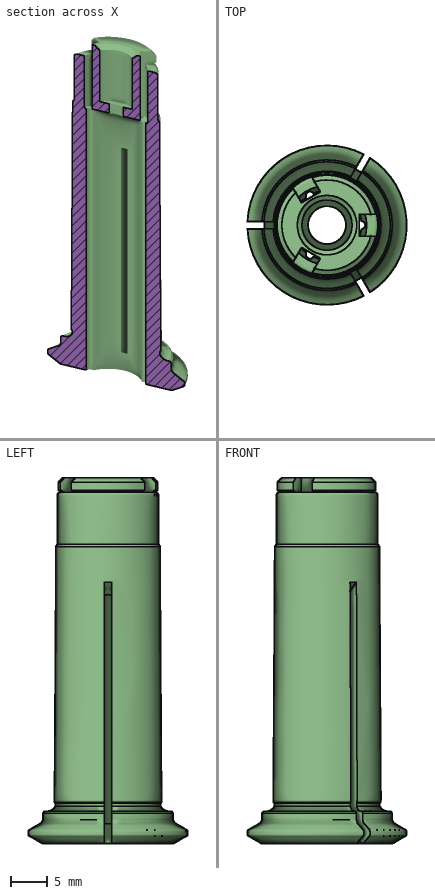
import cadquery as cq
import math

total_height = 50.5
segment_count = 3
cone_angle = math.radians(30)
cone_rise = math.tan(cone_angle)

flange_radius = 11.0
base_radius = 9.0
collar_top = 4.5
rim_height = 0.68
rim_round = 0.33
collar_root_radius = 9.38
collar_root_height = 3.28
collar_edge_chamfer = 0.27
flange_overhang = flange_radius - base_radius
rim_bottom = flange_overhang * cone_rise
rim_top = rim_bottom + rim_height

neck_radius = 7.3
neck_root_radius = 8.33
neck_bottom = 5.14
neck_top = 5.6
neck_shoulder_radius = 7.4
neck_shoulder_height = 5.75

body_bottom = 6.05
body_bottom_radius = 7.45
body_top = 40.95
body_top_radius = 7.24
upper_radius = 7.0
upper_bottom = 41.3
upper_top = 48.5
upper_edge_round = 0.5

lip_radius = 6.88
lip_top_chamfer = 0.65
lip_bottom = 48.58
lip_edge_height = 48.78

entry_radius = 8.2 / 2
entry_bore_radius = 6.92 / 2
small_bore_radius = 5.2 / 2
main_bore_radius = 4.75
funnel_radius = 10.92 / 2
entry_bore_bottom = 42.0
funnel_top = 40.5
funnel_bottom = funnel_top - (funnel_radius - main_bore_radius) * cone_rise

slot_width = 1.0
slot_end_slope = math.tan(math.radians(35))
slot_first_angle = 180
opposite_angle = slot_first_angle + 180
slot_roof_height = 36.05
slot_floor_radius = 8.65
cut_clearance = 1.0
slot_inner_radius = main_bore_radius - cut_clearance
slot_outer_radius = flange_radius + cut_clearance
groove_width = 1.1
groove_end_radius = 5.25
groove_center_radius = groove_end_radius - groove_width / 2

notch_width = 3.0
notch_inner_radius = 4.46


def repeat_around(cutter, first_angle):
    """Copies of a cutter spread evenly around the Z axis."""
    copies = cq.Workplane("XY")
    for index in range(segment_count):
        angle = first_angle + index * 360 / segment_count
        copies = copies.add(cutter.rotate((0, 0, 0), (0, 0, 1), angle))
    return copies.combine()


def make_outer_body():
    """Solid of revolution drawn from the underside up to the top face."""
    rim_setback = rim_round * math.tan((math.pi / 2 - cone_angle) / 2)
    setback_inward = rim_setback * math.cos(cone_angle)
    setback_along_axis = rim_setback * math.sin(cone_angle)
    rounded_rim_radius = flange_radius - setback_inward
    round_start = upper_radius - upper_edge_round
    return (
        cq.Workplane("XZ")
        .lineTo(base_radius, 0)
        .lineTo(rounded_rim_radius, rim_bottom - setback_along_axis)
        .tangentArcPoint((flange_radius, rim_bottom + rim_setback), relative=False)
        .lineTo(flange_radius, rim_top - rim_setback)
        .tangentArcPoint((rounded_rim_radius, rim_top + setback_along_axis), relative=False)
        .lineTo(collar_root_radius, rim_top + (flange_radius - collar_root_radius) * cone_rise)
        .tangentArcPoint((base_radius, collar_root_height), relative=False)
        .lineTo(base_radius, collar_top - collar_edge_chamfer)
        .lineTo(base_radius - collar_edge_chamfer, collar_top)
        .lineTo(neck_root_radius, collar_top)
        .tangentArcPoint((neck_radius, neck_bottom), relative=False)
        .lineTo(neck_radius, neck_top)
        .lineTo(neck_shoulder_radius, neck_shoulder_height)
        .lineTo(body_bottom_radius, body_bottom)
        .lineTo(body_top_radius, body_top)
        .lineTo(upper_radius, upper_bottom)
        .lineTo(upper_radius, upper_top - upper_edge_round)
        .tangentArcPoint((round_start, upper_top), relative=False)
        .lineTo(round_start, lip_bottom)
        .lineTo(lip_radius, lip_edge_height)
        .lineTo(lip_radius, total_height - lip_top_chamfer)
        .lineTo(lip_radius - lip_top_chamfer, total_height)
        .lineTo(0, total_height)
        .close()
        .revolve(360, (0, 0, 0), (0, 1, 0))
    )


def make_bore():
    """Main bore, funnel, small bore and chamfered entry bore along the axis."""
    chamfer_depth = entry_radius - entry_bore_radius
    return (
        cq.Workplane("XZ")
        .lineTo(main_bore_radius, 0)
        .lineTo(main_bore_radius, funnel_bottom)
        .lineTo(funnel_radius, funnel_top)
        .lineTo(small_bore_radius, funnel_top)
        .lineTo(small_bore_radius, entry_bore_bottom)
        .lineTo(entry_bore_radius, entry_bore_bottom)
        .lineTo(entry_bore_radius, total_height - chamfer_depth)
        .lineTo(entry_radius, total_height)
        .lineTo(0, total_height)
        .close()
        .revolve(360, (0, 0, 0), (0, 1, 0))
    )


def make_slots():
    """Radial slots with a floor rising inward and a roof falling inward."""
    def floor_height(radius):
        return (slot_floor_radius - radius) * slot_end_slope

    def roof_height(radius):
        return slot_roof_height + (radius - body_top_radius) * slot_end_slope

    slot = (
        cq.Workplane("XZ")
        .moveTo(slot_inner_radius, floor_height(slot_inner_radius))
        .lineTo(slot_outer_radius, floor_height(slot_outer_radius))
        .lineTo(slot_outer_radius, roof_height(slot_outer_radius))
        .lineTo(slot_inner_radius, roof_height(slot_inner_radius))
        .close()
        .extrude(slot_width / 2, both=True)
    )
    return repeat_around(slot, slot_first_angle)


def make_grooves():
    """Round grooves along the wall of the main bore, opposite the slots."""
    groove = (
        cq.Workplane("XY")
        .center(groove_center_radius, 0)
        .circle(groove_width / 2)
        .extrude(funnel_top)
    )
    return repeat_around(groove, opposite_angle)


def make_notches():
    """Notches across the lip that continue down to the funnel inside its wide radius."""
    def notch_block(bottom):
        return (
            cq.Workplane("XY", origin=(0, 0, bottom))
            .center((notch_inner_radius + flange_radius) / 2, 0)
            .rect(flange_radius - notch_inner_radius, notch_width)
            .extrude(total_height - bottom)
        )

    funnel_column = cq.Workplane("XY").circle(funnel_radius).extrude(total_height)
    notch = notch_block(upper_top).union(notch_block(funnel_top).intersect(funnel_column))
    return repeat_around(notch, opposite_angle)


result = (
    make_outer_body()
    .cut(make_bore())
    .cut(make_slots())
    .cut(make_grooves())
    .cut(make_notches())
)